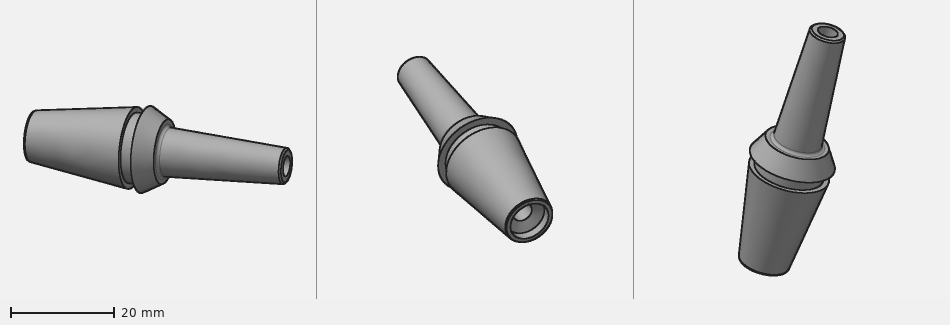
import cadquery as cq
import math

length = 52.5
body_end = 20.75
flange_start = 23.4
flange_end = 27.35

nose_radius = 5.1
body_radius = 8.05
neck_radius = 6.95
flange_radius = 8.53
flange_back_radius = 6.35
stem_root_radius = 4.85
stem_tip_radius = 3.55

nose_chamfer_length = 0.3
nose_chamfer_depth = 0.15
tip_chamfer = 0.35
root_fillet = 0.65

bore_radius = 2.0
counterbore_radius = 4.1
counterbore_depth = 1.9
floor_cone_angle = 120.0


def turned_outside():
    """Solid of revolution about X: tapered body, neck, flange and tapered stem."""
    fillet_end = flange_end + root_fillet
    mid_x = fillet_end - root_fillet * math.sin(math.radians(45))
    mid_radius = stem_root_radius + root_fillet * (1 - math.cos(math.radians(45)))
    return (
        cq.Workplane("XY")
        .moveTo(0, 0)
        .lineTo(0, nose_radius - nose_chamfer_depth)
        .lineTo(nose_chamfer_length, nose_radius)
        .lineTo(body_end, body_radius)
        .lineTo(body_end, neck_radius)
        .lineTo(flange_start, neck_radius)
        .lineTo(flange_start, flange_radius)
        .lineTo(flange_end, flange_back_radius)
        .lineTo(flange_end, stem_root_radius + root_fillet)
        .threePointArc((mid_x, mid_radius), (fillet_end, stem_root_radius))
        .lineTo(length - tip_chamfer, stem_tip_radius)
        .lineTo(length, stem_tip_radius - tip_chamfer)
        .lineTo(length, 0)
        .close()
        .revolve(360, (0, 0, 0), (1, 0, 0))
    )


def stepped_bore():
    """Counterbore with a conical floor leading into the through hole."""
    half_angle = math.radians(floor_cone_angle / 2)
    cone_length = (counterbore_radius - bore_radius) / math.tan(half_angle)
    return (
        cq.Workplane("XY")
        .moveTo(0, 0)
        .lineTo(0, counterbore_radius)
        .lineTo(counterbore_depth, counterbore_radius)
        .lineTo(counterbore_depth + cone_length, bore_radius)
        .lineTo(length, bore_radius)
        .lineTo(length, 0)
        .close()
        .revolve(360, (0, 0, 0), (1, 0, 0))
    )


result = turned_outside().cut(stepped_bore())